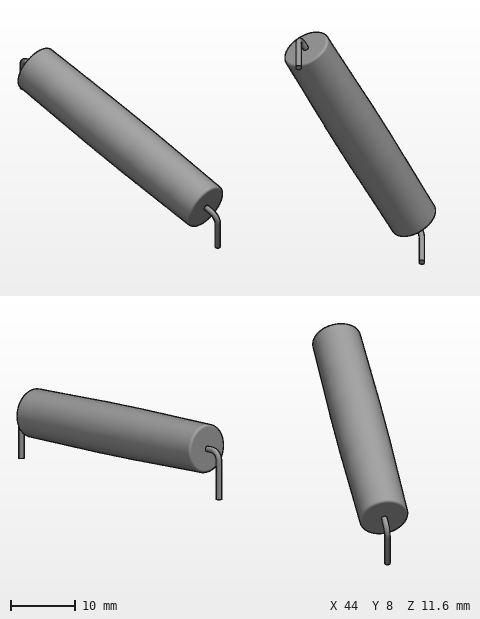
import cadquery as cq

overall_length = 44.0
overall_height = 11.6

case_length = 38.0
case_diameter = 8.0
end_diameter = 7.6
band_length = 8.0
rim_fillet = 0.4

wire_diameter = 0.9
bend_radius = 1.6

case_end = case_length / 2
band_end = band_length / 2
lead_x = (overall_length - wire_diameter) / 2
lead_bottom = case_diameter / 2 - overall_height


def make_case():
    """Cylindrical middle band with a slight taper towards each rounded end."""
    profile = (
        cq.Workplane("XY")
        .moveTo(-case_end, 0)
        .lineTo(-case_end, -end_diameter / 2)
        .lineTo(-band_end, -case_diameter / 2)
        .lineTo(band_end, -case_diameter / 2)
        .lineTo(case_end, -end_diameter / 2)
        .lineTo(case_end, 0)
        .close()
    )
    case = profile.revolve(360, (0, 0, 0), (1, 0, 0))
    return case.faces("<X or >X").edges().fillet(rim_fillet)


def make_lead(side):
    """Bent wire that leaves the case end on its axis; side is -1 or +1 along X."""
    path = (
        cq.Workplane("XZ")
        .moveTo(side * case_end, 0)
        .lineTo(side * (lead_x - bend_radius), 0)
        .tangentArcPoint((side * lead_x, -bend_radius), relative=False)
        .lineTo(side * lead_x, lead_bottom)
    )
    section = cq.Workplane("YZ", origin=(side * case_end, 0, 0)).circle(wire_diameter / 2)
    return section.sweep(path)


case = make_case()
leads = [make_lead(side) for side in (-1, 1)]

result = cq.Compound.makeCompound([case.val(), *[lead.val() for lead in leads]])